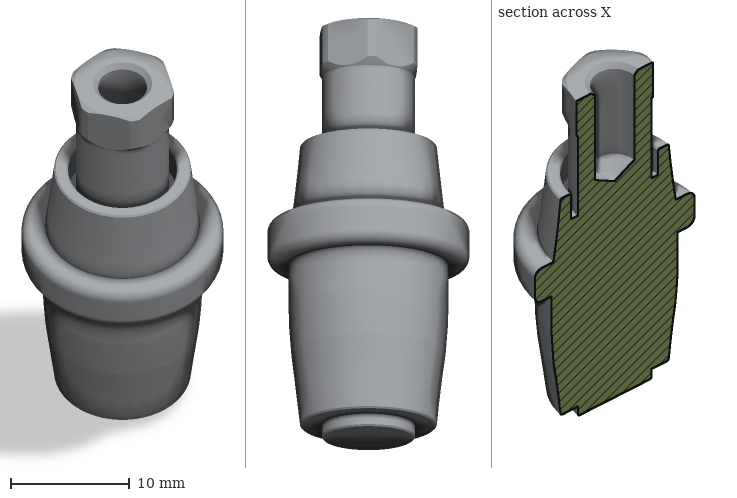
import cadquery as cq
import math

total_height = 35.6
hex_bottom = 31.5
sleeve_top = 25.5
flange_top = 18.8
flange_bottom = 15.0
arc_top = 11.2
arc_bottom = 7.37
body_bottom = 1.07
groove_floor = 22.6

flange_diameter = 17.0
body_diameter = 13.45
body_end_diameter = 11.55
sleeve_base_diameter = 13.03
sleeve_top_diameter = body_end_diameter
sleeve_bore_diameter = 9.2
sleeve_mouth_diameter = 9.5
stem_diameter = 7.85
bore_diameter = 4.13
bore_mouth_diameter = 5.0

hex_across_flats = 8.0
hex_corner_diameter = 8.83
hex_rotation = 19.0
hex_chamfer_angle = 25.0
hex_underside_height = 0.65

bore_depth = 9.97
drill_point_angle = 118.0

flange_fillet = 0.85
edge_chamfer = 0.15


def make_body():
    """Revolve the flanged body, whose lower half tapers through a tangent arc."""
    body_radius = body_diameter / 2
    end_radius = body_end_diameter / 2
    arc_height = arc_top - arc_bottom
    cone_height = arc_bottom - body_bottom
    taper = math.atan((body_radius - end_radius) / (cone_height + arc_height / 2))
    arc_radius = arc_height / math.sin(taper)
    arc_center = body_radius - arc_radius
    arc_middle = (
        arc_center + arc_radius * math.cos(taper / 2),
        arc_top - arc_radius * math.sin(taper / 2),
    )
    arc_end = (arc_center + arc_radius * math.cos(taper), arc_bottom)

    profile = (
        cq.Workplane("XZ")
        .moveTo(0, body_bottom)
        .lineTo(end_radius - edge_chamfer, body_bottom)
        .lineTo(end_radius, body_bottom + edge_chamfer)
        .lineTo(*arc_end)
        .threePointArc(arc_middle, (body_radius, arc_top))
        .lineTo(body_radius, flange_top)
        .lineTo(0, flange_top)
        .close()
    )
    flange = (
        cq.Workplane("XY", origin=(0, 0, flange_bottom))
        .circle(flange_diameter / 2)
        .extrude(flange_top - flange_bottom)
        .edges()
        .fillet(flange_fillet)
    )
    return profile.revolve(360, (0, 0), (0, 1)).union(flange)


def make_sleeve():
    """Revolve the conical sleeve above the flange."""
    top_radius = sleeve_top_diameter / 2
    return (
        cq.Workplane("XZ")
        .moveTo(0, flange_top)
        .lineTo(sleeve_base_diameter / 2, flange_top)
        .lineTo(top_radius, sleeve_top - edge_chamfer)
        .lineTo(top_radius - edge_chamfer, sleeve_top)
        .lineTo(0, sleeve_top)
        .close()
        .revolve(360, (0, 0), (0, 1))
    )


def make_sleeve_bore():
    """Space cut from the sleeve around the stem, with a chamfered mouth."""
    bore_radius = sleeve_bore_diameter / 2
    mouth_radius = sleeve_mouth_diameter / 2
    return (
        cq.Workplane("XZ")
        .moveTo(0, groove_floor)
        .lineTo(bore_radius, groove_floor)
        .lineTo(bore_radius, sleeve_top - (mouth_radius - bore_radius))
        .lineTo(mouth_radius, sleeve_top)
        .lineTo(0, sleeve_top)
        .close()
        .revolve(360, (0, 0), (0, 1))
    )


def make_stem():
    """Round stem running through the whole part up to the head."""
    return (
        cq.Workplane("XY")
        .circle(stem_diameter / 2)
        .extrude(hex_bottom)
        .faces("<Z")
        .chamfer(edge_chamfer)
    )


def make_hex_head():
    """Hexagon trimmed by a round blank that is chamfered at both ends."""
    corner_radius = hex_corner_diameter / 2
    top_radius = hex_across_flats / 2
    chamfer_height = (corner_radius - top_radius) * math.tan(math.radians(hex_chamfer_angle))
    blank = (
        cq.Workplane("XZ")
        .moveTo(0, hex_bottom)
        .lineTo(stem_diameter / 2, hex_bottom)
        .lineTo(corner_radius, hex_bottom + hex_underside_height)
        .lineTo(corner_radius, total_height - chamfer_height)
        .lineTo(top_radius, total_height)
        .lineTo(0, total_height)
        .close()
        .revolve(360, (0, 0), (0, 1))
    )
    hexagon = (
        cq.Workplane("XY", origin=(0, 0, hex_bottom))
        .polygon(6, hex_across_flats, circumscribed=True)
        .extrude(total_height - hex_bottom)
        .rotate((0, 0, 0), (0, 0, 1), hex_rotation)
    )
    return blank.intersect(hexagon)


def make_stem_bore():
    """Blind drilled bore with a chamfered mouth and a conical end."""
    bore_radius = bore_diameter / 2
    mouth_radius = bore_mouth_diameter / 2
    bore_end = total_height - bore_depth
    point_height = bore_radius / math.tan(math.radians(drill_point_angle / 2))
    return (
        cq.Workplane("XZ")
        .moveTo(0, bore_end - point_height)
        .lineTo(bore_radius, bore_end)
        .lineTo(bore_radius, total_height - (mouth_radius - bore_radius))
        .lineTo(mouth_radius, total_height)
        .lineTo(0, total_height)
        .close()
        .revolve(360, (0, 0), (0, 1))
    )


housing = make_body().union(make_sleeve()).cut(make_sleeve_bore())
result = housing.union(make_stem()).union(make_hex_head()).cut(make_stem_bore())